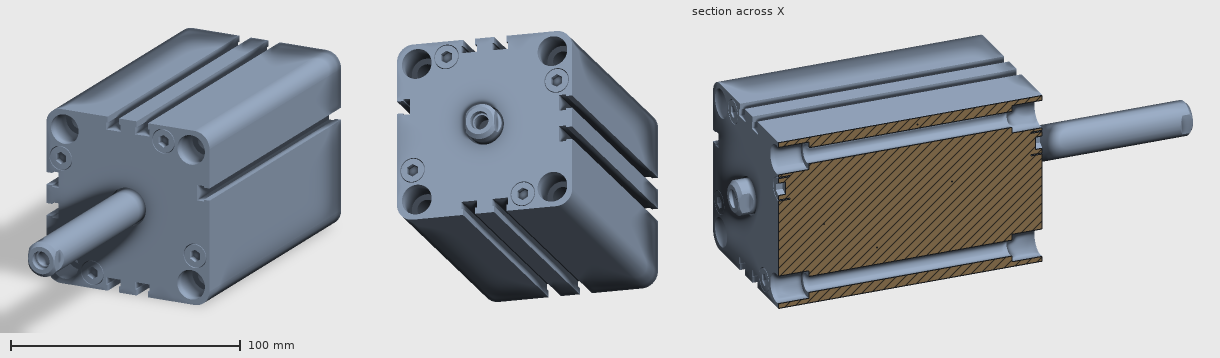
import cadquery as cq
import math

total_length = 215.0
body_side = 80.0
body_length = 125.0
rod_front_reach = 82.5
corner_radius = 7.3
half_side = body_side / 2
rod_front = -total_length / 2
rod_back = total_length / 2
body_front = rod_front + rod_front_reach
body_back = body_front + body_length

mount_offset = 31.0
mount_diameter = 8.4
counterbore_diameter = 13.5
counterbore_depth = 14.5

mouth_width = 5.5
mouth_depth = 2.8
channel_width = 7.0
groove_depth = 6.0
pair_offset = 7.0
single_offset = 11.8

screw_near = 17.5
screw_far = 33.0
recess_diameter = 11.2
head_diameter = 10.5
recess_depth = 5.4
hex_flats = 5.0
hex_depth = 3.2

rod_diameter = 16.0
rod_chamfer = 1.7
flats_width = 13.1
flats_length = 5.2
bore_diameter = 6.7
bore_depth = 17.2
bore_cone_angle = 120.0
relief_diameter = 8.4
relief_depth = 3.0

guide_diameter = 17.6
guide_depth = 3.2

mount_points = [(x, z) for x in (-mount_offset, mount_offset) for z in (-mount_offset, mount_offset)]
screw_points = [
    (screw_near, screw_far),
    (screw_far, -screw_near),
    (-screw_near, -screw_far),
    (-screw_far, screw_near),
]


def section_at(y_start):
    """Sketch plane across the part: local x is X, local y is Z, negative extrusion runs toward +Y."""
    return cq.Workplane("XZ", origin=(0, y_start, 0))


def mirrored(shape, y_middle):
    """The shape mirrored end for end about the section at y_middle."""
    return shape.mirror("XZ", (0, y_middle, 0))


def make_block():
    block = section_at(body_front).rect(body_side, body_side).extrude(-body_length)
    return block.edges("|Y").fillet(corner_radius)


def make_groove(offset, side_angle):
    """Groove along the top face at X = offset, turned about Y onto the wanted side."""
    channel_height = groove_depth - mouth_depth
    floor = half_side - groove_depth
    mouth = section_at(body_front).center(offset, half_side - groove_depth / 2)
    mouth = mouth.rect(mouth_width, groove_depth).extrude(-body_length)
    channel = section_at(body_front).center(offset, floor + channel_height / 2)
    channel = channel.rect(channel_width, channel_height).extrude(-body_length)
    cutter = mouth.union(channel)
    return cutter.rotate((0, 0, 0), (0, 1, 0), side_angle)


def make_pins(y_start, points, diameter, length):
    """Round pins starting at y_start and running toward +Y."""
    return section_at(y_start).pushPoints(points).circle(diameter / 2).extrude(-length)


def make_hex_sockets():
    """Hexagons with corners pointing along Z, turned from a corner along X."""
    across_corners = hex_flats / math.cos(math.pi / 6)
    sockets = cq.Workplane("XZ")
    for x, z in screw_points:
        plan = section_at(body_front).center(x, z).transformed(rotate=(0, 0, 90))
        sockets = sockets.add(plan.polygon(6, across_corners).extrude(-hex_depth))
    return sockets.combine()


def make_end_recesses():
    """Everything cut into the front face of the body."""
    counterbores = make_pins(body_front, mount_points, counterbore_diameter, counterbore_depth)
    recesses = make_pins(body_front, screw_points, recess_diameter, recess_depth)
    heads = make_pins(body_front, screw_points, head_diameter, recess_depth)
    guide = make_pins(body_front, [(0, 0)], guide_diameter, guide_depth)
    return counterbores.union(recesses.cut(heads)).union(make_hex_sockets()).union(guide)


def make_body():
    body = make_block()
    for side_angle in (0, 180, 270):
        for offset in (-pair_offset, pair_offset):
            body = body.cut(make_groove(offset, side_angle))
    body = body.cut(make_groove(-single_offset, 90))
    body = body.cut(make_pins(body_front, mount_points, mount_diameter, body_length))
    recesses = make_end_recesses()
    return body.cut(recesses).cut(mirrored(recesses, (body_front + body_back) / 2))


def make_flat():
    """Wedge that leaves a wrench flat on the +X side of the front tip, running out at 45 degrees."""
    flat_x = flats_width / 2
    outside_x = rod_diameter
    flat_end = rod_front + flats_length
    outline = [
        (flat_x, rod_front),
        (flat_x, flat_end),
        (outside_x, flat_end + outside_x - flat_x),
        (outside_x, rod_front),
    ]
    return cq.Workplane("XY").polyline(outline).close().extrude(rod_diameter, both=True)


def make_bore():
    """Relieved blind bore with a drill point, revolved about the rod axis."""
    bore_end = rod_front + bore_depth
    relief_end = rod_front + relief_depth
    cone_length = bore_diameter / 2 / math.tan(math.radians(bore_cone_angle / 2))
    outline = [
        (0, rod_front),
        (relief_diameter / 2, rod_front),
        (relief_diameter / 2, relief_end),
        (bore_diameter / 2, relief_end),
        (bore_diameter / 2, bore_end),
        (0, bore_end + cone_length),
    ]
    return cq.Workplane("XY").polyline(outline).close().revolve(360, (0, 0), (0, 1))


def make_rod():
    rod = make_pins(rod_front, [(0, 0)], rod_diameter, total_length)
    rod = rod.faces("<Y or >Y").chamfer(rod_chamfer)
    flat = make_flat()
    tip_cuts = flat.union(flat.mirror("YZ")).union(make_bore())
    return rod.cut(tip_cuts).cut(mirrored(tip_cuts, (rod_front + rod_back) / 2))


result = make_body().union(make_rod())